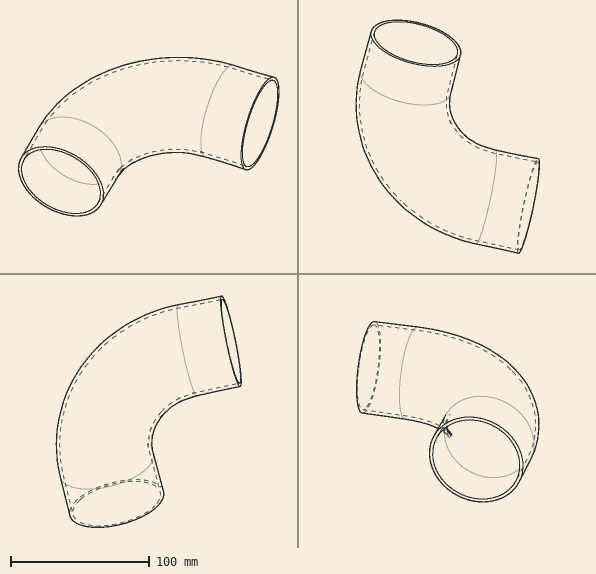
import math

import cadquery as cq

inlet_diameter = 66.8
outlet_diameter = 70.0
wall = 2.5
bend_radius = 77.7
inlet_length = 32.2
outlet_length = 31.8

bend_length = bend_radius * math.pi / 2
centreline_length = inlet_length + bend_length + outlet_length
inlet_centre = cq.Vector(-bend_radius, -inlet_length, 0)
bend_start = cq.Vector(-bend_radius, 0, 0)
bend_end = cq.Vector(0, bend_radius, 0)
x_axis = cq.Vector(1, 0, 0)
y_axis = cq.Vector(0, 1, 0)


def tapered_elbow(inset):
    """Solid elbow growing evenly along its centreline, its surface inset from the outside."""

    def radius_at(distance):
        growth = (outlet_diameter - inlet_diameter) * distance / centreline_length
        return (inlet_diameter + growth) / 2 - inset

    inlet_radius = radius_at(0)
    start_radius = radius_at(inlet_length)
    end_radius = radius_at(inlet_length + bend_length)
    outlet_radius = radius_at(centreline_length)

    inlet_leg = cq.Solid.makeCone(
        inlet_radius, start_radius, inlet_length, inlet_centre, y_axis
    )
    outlet_leg = cq.Solid.makeCone(
        end_radius, outlet_radius, outlet_length, bend_end, x_axis
    )
    bend_path = (
        cq.Workplane("XY")
        .moveTo(bend_start.x, bend_start.y)
        .radiusArc((bend_end.x, bend_end.y), bend_radius)
    )
    bend = (
        cq.Workplane(cq.Plane(bend_start, x_axis, y_axis))
        .circle(start_radius)
        .transformed(offset=(bend_radius, 0, bend_radius), rotate=(0, 90, 0))
        .circle(end_radius)
        .sweep(bend_path, multisection=True)
    )
    return bend.union(inlet_leg).union(outlet_leg)


result = tapered_elbow(0).cut(tapered_elbow(wall))